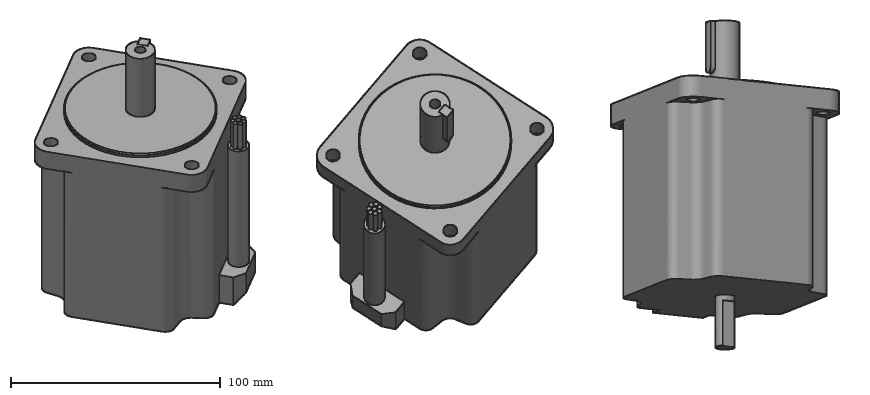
import cadquery as cq
import math

FLANGE_BOTTOM = 86.1
FLANGE_TOP = 96.4
PILOT_TOP = 98.3
SHAFT_TOP = 133.0
REAR_SHAFT_BOTTOM = -25.0

SIDE = 85.0
HALF_SIDE = SIDE / 2
FLANGE_CORNER_RADIUS = 7.9
BOLT_OFFSET = 34.8
BOLT_HOLE_RADIUS = 3.3

NOTCH_MOUTH = 26.4
NOTCH_APEX = 29.0
NOTCH_LIP_RADIUS = 4.9
NOTCH_APEX_RADIUS = 6.0

PILOT_RADIUS = 36.5
PILOT_CHAMFER = 0.6

SHAFT_RADIUS = 14.0 / 2
CENTRE_HOLE_RADIUS = 2.5
CENTRE_HOLE_DEPTH = 12.6
DRILL_TIP_ANGLE = 118.0

KEY_WIDTH = 5.0
KEY_LENGTH = 25.0
KEY_INNER_Y = 4.0
KEY_OUTER_Y = 9.0

REAR_SHAFT_RADIUS = 4.7
REAR_FLAT_X = -3.6
REAR_FLAT_TOP = -2.8
REAR_SHAFT_CHAMFER = 0.3

OUTLET_LENGTH = 12.0
OUTLET_WIDTH = 26.7
OUTLET_HEIGHT = 16.6
OUTLET_CHAMFER = 4.9

CABLE_X = 48.5
JACKET_RADIUS = 5.0
JACKET_TOP = 85.6
WIRE_RADIUS = 1.1
WIRE_TOP = 100.6
WIRE_RING_RADIUS = 2.7
RING_WIRES = 7
FIRST_WIRE_ANGLE = 97.0


def cylinder(radius, bottom, top, x=0.0, y=0.0):
    """Upright cylinder between two heights."""
    return cq.Workplane("XY", origin=(x, y, bottom)).circle(radius).extrude(top - bottom)


def make_corner_notch():
    """Clearance notch of the (+X, +Y) corner, as a solid to cut away."""
    return (
        cq.Workplane("XY")
        .polyline(
            [
                (HALF_SIDE, NOTCH_MOUTH),
                (NOTCH_APEX, NOTCH_APEX),
                (NOTCH_MOUTH, HALF_SIDE),
                (HALF_SIDE, HALF_SIDE),
            ]
        )
        .close()
        .extrude(FLANGE_BOTTOM)
    )


def make_body():
    """Motor body with a rounded V-shaped notch along each vertical corner."""
    body = cq.Workplane("XY").rect(SIDE, SIDE).extrude(FLANGE_BOTTOM)
    notch = make_corner_notch()
    for quarter in range(4):
        body = body.cut(notch.rotate((0, 0, 0), (0, 0, 1), 90 * quarter))
    for sx in (-1, 1):
        for sy in (-1, 1):
            edge_places = (
                (NOTCH_APEX, NOTCH_APEX, NOTCH_APEX_RADIUS),
                (HALF_SIDE, NOTCH_MOUTH, NOTCH_LIP_RADIUS),
                (NOTCH_MOUTH, HALF_SIDE, NOTCH_LIP_RADIUS),
            )
            for x, y, radius in edge_places:
                edge = cq.selectors.NearestToPointSelector((sx * x, sy * y, FLANGE_BOTTOM / 2))
                body = body.edges(edge).fillet(radius)
    return body


def make_flange():
    """Square front flange with four bolt holes and the pilot disc."""
    flange = (
        cq.Workplane("XY", origin=(0, 0, FLANGE_BOTTOM))
        .rect(SIDE, SIDE)
        .extrude(FLANGE_TOP - FLANGE_BOTTOM)
        .edges("|Z")
        .fillet(FLANGE_CORNER_RADIUS)
        .faces(">Z")
        .workplane()
        .rect(2 * BOLT_OFFSET, 2 * BOLT_OFFSET, forConstruction=True)
        .vertices()
        .hole(2 * BOLT_HOLE_RADIUS)
    )
    pilot = cylinder(PILOT_RADIUS, FLANGE_TOP, PILOT_TOP).faces(">Z").chamfer(PILOT_CHAMFER)
    return flange.union(pilot)


def make_key():
    """Key on the +Y side of the output shaft."""
    half_width = KEY_WIDTH / 2
    end = SHAFT_TOP - KEY_LENGTH
    return (
        cq.Workplane("XZ", origin=(0, KEY_OUTER_Y, 0))
        .moveTo(-half_width, SHAFT_TOP)
        .lineTo(-half_width, end + half_width)
        .threePointArc((0, end), (half_width, end + half_width))
        .lineTo(half_width, SHAFT_TOP)
        .close()
        .extrude(KEY_OUTER_Y - KEY_INNER_Y)
    )


def make_output_shaft():
    """Output shaft with its drilled centre hole and the keyway."""
    tip_depth = CENTRE_HOLE_RADIUS / math.tan(math.radians(DRILL_TIP_ANGLE / 2))
    hole_bottom = SHAFT_TOP - CENTRE_HOLE_DEPTH
    centre_hole = (
        cq.Workplane("XZ")
        .polyline(
            [
                (0, SHAFT_TOP),
                (CENTRE_HOLE_RADIUS, SHAFT_TOP),
                (CENTRE_HOLE_RADIUS, hole_bottom),
                (0, hole_bottom - tip_depth),
            ]
        )
        .close()
        .revolve(360, (0, 0, 0), (0, 1, 0))
    )
    return cylinder(SHAFT_RADIUS, PILOT_TOP, SHAFT_TOP).cut(centre_hole).cut(make_key())


def make_rear_shaft():
    """Rear shaft with a chamfered end and a flat."""
    shaft = cylinder(REAR_SHAFT_RADIUS, REAR_SHAFT_BOTTOM, 0).faces("<Z").chamfer(REAR_SHAFT_CHAMFER)
    flat_length = REAR_FLAT_TOP - REAR_SHAFT_BOTTOM
    flat = cq.Workplane("XY", origin=(REAR_FLAT_X - REAR_SHAFT_RADIUS, 0, REAR_SHAFT_BOTTOM)).box(
        REAR_SHAFT_RADIUS, 2 * REAR_SHAFT_RADIUS, flat_length, centered=(False, True, False)
    )
    return shaft.cut(flat)


def make_cable_outlet():
    """Outlet box whose outer face is chamfered on both sides and below."""
    return (
        cq.Workplane("XY", origin=(HALF_SIDE, 0, 0))
        .box(OUTLET_LENGTH, OUTLET_WIDTH, OUTLET_HEIGHT, centered=(False, True, False))
        .faces(">X")
        .edges("|Z or <Z")
        .chamfer(OUTLET_CHAMFER)
    )


def make_cable():
    """Jacketed cable with bare wire ends standing out of the top."""
    cable = cylinder(JACKET_RADIUS, OUTLET_HEIGHT, JACKET_TOP, CABLE_X)
    cable = cable.union(cylinder(WIRE_RADIUS, JACKET_TOP, WIRE_TOP, CABLE_X))
    for index in range(RING_WIRES):
        angle = math.radians(FIRST_WIRE_ANGLE + index * 360 / RING_WIRES)
        x = CABLE_X + WIRE_RING_RADIUS * math.cos(angle)
        y = WIRE_RING_RADIUS * math.sin(angle)
        cable = cable.union(cylinder(WIRE_RADIUS, JACKET_TOP, WIRE_TOP, x, y))
    return cable


def make_motor():
    """Everything but the key, as one solid."""
    return (
        make_body()
        .union(make_flange())
        .union(make_output_shaft())
        .union(make_rear_shaft())
        .union(make_cable_outlet())
        .union(make_cable())
    )


motor = make_motor()
key = make_key()

result = cq.Compound.makeCompound([motor.val(), key.val()])